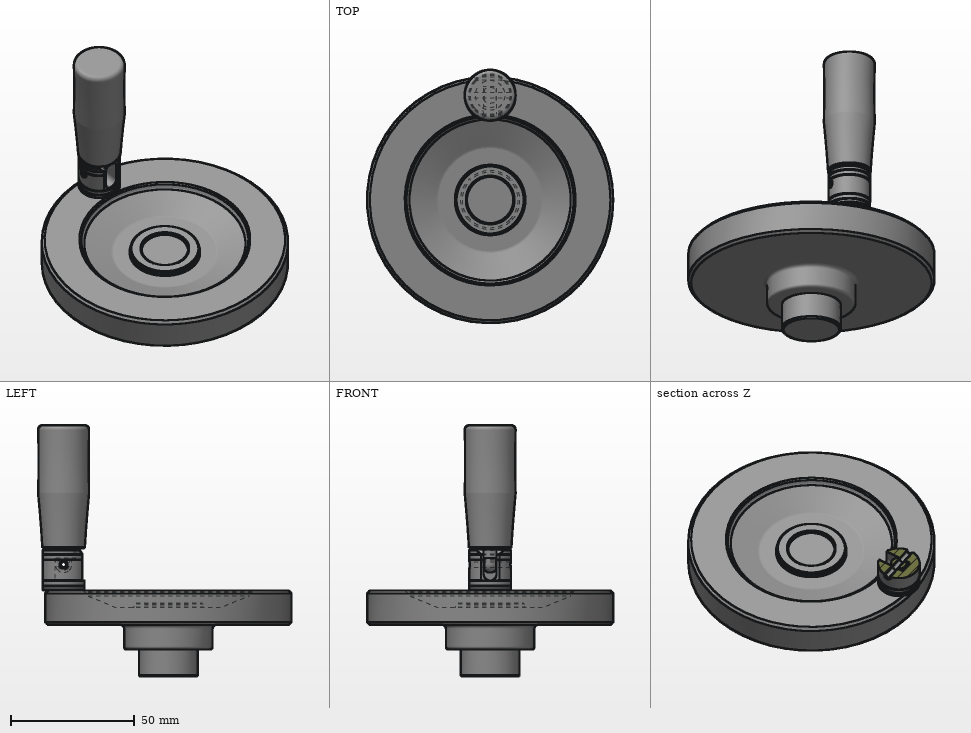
import cadquery as cq

wheel_radius = 50.0
rim_bottom = 21.0
rim_top = 35.0
rim_edge = 1.2

hub_radius = 12.0
hub_chamfer = 0.7
boss_radius = 18.0
boss_bottom = 11.0
boss_round = 1.2
boss_root_radius = 1.5

dish_mouth_radius = 34.7
dish_lip_radius = 33.9
dish_lip_top = 34.4
dish_lip_foot_radius = 33.2
dish_lip_foot = 33.2
dish_cone_radius = 32.7
dish_cone_top = 32.7
dish_cone_foot_radius = 21.6
dish_cone_foot = 28.15
dish_floor_radius = 21.0
dish_floor_z = 28.0
centre_boss_radius = 14.0
centre_boss_top = 30.0
centre_boss_chamfer = 0.4
centre_boss_root = 0.35
centre_recess_radius = 9.4
centre_recess_chamfer = 0.5
centre_recess_depth = 1.0

handle_y = 42.5
grip_radius = 10.4
grip_top = 102.1
grip_top_round = 2.0
grip_waist_radius = 10.2
grip_shoulder_z = 74.5
grip_taper_mid_radius = 9.45
grip_lower_radius = 8.7
grip_bottom = 52.1
grip_bottom_chamfer = 0.6
neck_radius = 6.0

body_radius = 8.5
body_top = 51.55
body_edge_chamfer = 0.3
flat_bottom = 39.0
flat_distance = 7.65
flat_bevel_width = 1.3
flat_bevel_bottom = 49.65
groove_heights = (36.8, 39.0, 47.45, 49.65)
groove_width = 0.35
groove_depth = 0.1

slot_width = 5.2
slot_back = 3.5
tongue_radius = 3.25
tongue_width = 4.6
insert_radius = 5.0
insert_bottom = 48.2

pin_z = 45.5
pin_radius = 1.6
pin_bore_radius = 1.1
pin_recess = 0.5


def make_wheel():
    """Rim, dish, boss and hub as one revolved section (radius, z)."""
    recess_floor = centre_boss_top - centre_recess_depth
    section = (
        cq.Workplane("XZ")
        .moveTo(0, 0)
        .lineTo(hub_radius - hub_chamfer, 0)
        .lineTo(hub_radius, hub_chamfer)
        .lineTo(hub_radius, boss_bottom)
        .lineTo(boss_radius - boss_round, boss_bottom)
        .radiusArc((boss_radius, boss_bottom + boss_round), -boss_round)
        .lineTo(boss_radius, rim_bottom - boss_root_radius)
        .radiusArc((boss_radius + boss_root_radius, rim_bottom), boss_root_radius)
        .lineTo(wheel_radius - rim_edge, rim_bottom)
        .lineTo(wheel_radius, rim_bottom + rim_edge)
        .lineTo(wheel_radius, rim_top - rim_edge)
        .lineTo(wheel_radius - rim_edge, rim_top)
        .lineTo(dish_mouth_radius, rim_top)
        .lineTo(dish_lip_radius, dish_lip_top)
        .lineTo(dish_lip_foot_radius, dish_lip_foot)
        .lineTo(dish_cone_radius, dish_cone_top)
        .lineTo(dish_cone_foot_radius, dish_cone_foot)
        .lineTo(dish_floor_radius, dish_floor_z)
        .lineTo(centre_boss_radius + centre_boss_root, dish_floor_z)
        .lineTo(centre_boss_radius, dish_floor_z + centre_boss_root)
        .lineTo(centre_boss_radius, centre_boss_top - centre_boss_chamfer)
        .lineTo(centre_boss_radius - centre_boss_chamfer, centre_boss_top)
        .lineTo(centre_recess_radius + centre_recess_chamfer, centre_boss_top)
        .lineTo(centre_recess_radius, centre_boss_top - centre_recess_chamfer)
        .lineTo(centre_recess_radius, recess_floor)
        .lineTo(0, recess_floor)
        .close()
    )
    return section.revolve(360, (0, 0, 0), (0, 1, 0))


def cylinder(radius, bottom, top):
    """Upright cylinder on the handle axis, which is the local Z axis."""
    return cq.Workplane("XY", origin=(0, 0, bottom)).circle(radius).extrude(top - bottom)


def make_grip():
    """Grip with a waisted upper part and a hollow taper below the shoulder."""
    round_start = grip_top - grip_top_round
    taper_end = grip_bottom + grip_bottom_chamfer
    section = (
        cq.Workplane("XZ")
        .moveTo(0, grip_bottom)
        .lineTo(grip_lower_radius - grip_bottom_chamfer, grip_bottom)
        .lineTo(grip_lower_radius, taper_end)
        .threePointArc(
            (grip_taper_mid_radius, (taper_end + grip_shoulder_z) / 2),
            (grip_radius, grip_shoulder_z),
        )
        .threePointArc(
            (grip_waist_radius, (grip_shoulder_z + round_start) / 2),
            (grip_radius, round_start),
        )
        .radiusArc((grip_radius - grip_top_round, grip_top), -grip_top_round)
        .lineTo(0, grip_top)
        .close()
    )
    return section.revolve(360, (0, 0, 0), (0, 1, 0))


def make_groove(height):
    """Fine ring cut around the handle body, centred on the given height."""
    bottom = height - groove_width / 2
    top = height + groove_width / 2
    ring = cylinder(body_radius + groove_depth, bottom, top)
    return ring.cut(cylinder(body_radius - groove_depth, bottom, top))


def make_front_relief():
    """Material removed in front of the flat and its bevelled upper edge."""
    outer = -2 * body_radius
    return (
        cq.Workplane("YZ")
        .moveTo(outer, flat_bottom)
        .lineTo(-flat_distance, flat_bottom)
        .lineTo(-flat_distance, flat_bevel_bottom)
        .lineTo(-flat_distance + flat_bevel_width, body_top)
        .lineTo(outer, body_top)
        .close()
        .extrude(body_radius, both=True)
    )


def make_slot():
    """Round-bottomed slot, open at the front and at the top of the body."""
    half_width = slot_width / 2
    round_z = flat_bottom + half_width
    return (
        cq.Workplane("XZ", origin=(0, slot_back, 0))
        .moveTo(-half_width, body_top)
        .lineTo(-half_width, round_z)
        .threePointArc((0, flat_bottom), (half_width, round_z))
        .lineTo(half_width, body_top)
        .close()
        .extrude(slot_back + body_radius)
    )


def make_body():
    """Lower handle body with its grooves, front flat and slot."""
    body = cylinder(body_radius, rim_top, body_top)
    body = body.faces("<Z or >Z").edges().chamfer(body_edge_chamfer)
    for height in groove_heights:
        body = body.cut(make_groove(height))
    return body.cut(make_front_relief()).cut(make_slot())


def make_tongue():
    """Ball-ended rod with flat sides, hinged in the slot."""
    rod = cylinder(tongue_radius, pin_z, insert_bottom)
    ball = cq.Workplane("XY", origin=(0, 0, pin_z)).sphere(tongue_radius)
    width_limit = cq.Workplane("XY", origin=(0, 0, pin_z)).box(
        tongue_width, 2 * tongue_radius, 4 * tongue_radius
    )
    return rod.union(ball).intersect(width_limit)


def pin_cylinder(radius, half_length):
    """Cylinder along the hinge axis, centred on the handle axis."""
    return cq.Workplane("YZ", origin=(0, 0, pin_z)).circle(radius).extrude(half_length, both=True)


def make_handle():
    """Body, hinged tongue, neck and grip joined by a tubular hinge pin."""
    pin_half_length = body_radius - pin_recess
    pin_hole = pin_cylinder(pin_radius, body_radius)
    return (
        make_body()
        .union(cylinder(insert_radius, insert_bottom, body_top))
        .union(cylinder(neck_radius, body_top, grip_bottom))
        .union(make_tongue())
        .cut(pin_hole)
        .union(pin_cylinder(pin_radius, pin_half_length))
        .cut(pin_cylinder(pin_bore_radius, body_radius))
        .union(make_grip())
        .translate((0, handle_y, 0))
    )


result = make_wheel().union(make_handle())